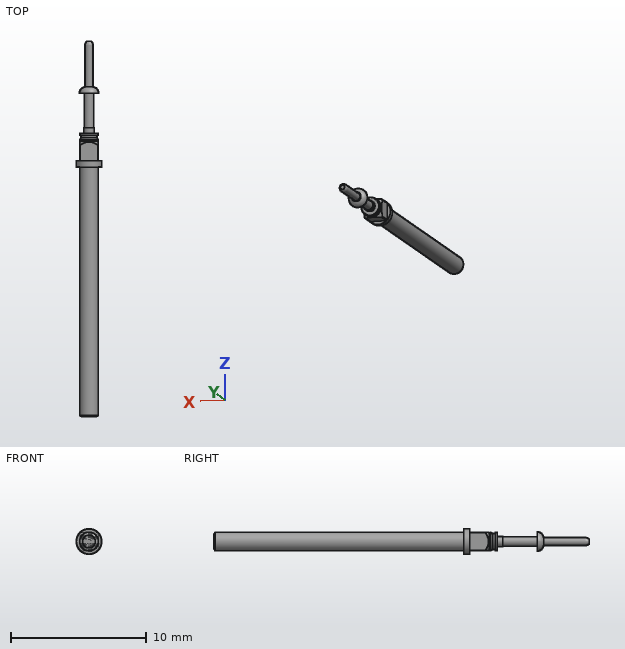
import cadquery as cq
import math

length = 27.8

flange_radius = 0.95
barrel_radius = 0.7
end_face_radius = 0.47
rim_radius = 0.7
notch_radius = 0.6
groove_shoulder_radius = 0.65
groove_radius = 0.58
shaft_radius = 0.35
neck_radius = 0.4
collar_radius = 0.72
pin_radius = 0.3
tip_face_radius = 0.17

end_chamfer_depth = 0.1
flange_start = 18.5
square_start = 18.95
square_end = 20.13
notch = 20.4
ridge = 20.5
groove = 20.65
disc_start = 20.85
disc_end = 21.0
shaft_start = 21.4
collar_start = 23.94
collar_end = 24.4
tip_start = 27.5

square_width = 2 * barrel_radius
cutter_width = 3 * flange_radius


def dome_middle(base_radius, base_y, top_radius, top_y):
    """Point halfway along the arc that leaves the base parallel to Y and ends at the top radius."""
    width = base_radius - top_radius
    height = top_y - base_y
    arc_radius = (width**2 + height**2) / (2 * width)
    half_sweep = math.asin(height / arc_radius) / 2
    center_radius = base_radius - arc_radius
    return (
        center_radius + arc_radius * math.cos(half_sweep),
        base_y + arc_radius * math.sin(half_sweep),
    )


def make_turned_body():
    """Revolve the half outline (radius, Y) about the Y axis."""
    collar_middle = dome_middle(collar_radius, collar_start, shaft_radius, collar_end)
    tip_middle = dome_middle(pin_radius, tip_start, tip_face_radius, length)
    outline = (
        cq.Workplane("XY")
        .lineTo(end_face_radius, 0)
        .lineTo(barrel_radius, end_chamfer_depth)
        .lineTo(barrel_radius, flange_start)
        .lineTo(flange_radius, flange_start)
        .lineTo(flange_radius, square_end)
        .lineTo(notch_radius, notch)
        .lineTo(rim_radius, ridge)
        .lineTo(groove_radius, groove)
        .lineTo(groove_shoulder_radius, disc_start)
        .lineTo(rim_radius, disc_start)
        .lineTo(rim_radius, disc_end)
        .lineTo(neck_radius, disc_end)
        .lineTo(neck_radius, shaft_start)
        .lineTo(shaft_radius, shaft_start)
        .lineTo(shaft_radius, collar_start)
        .lineTo(collar_radius, collar_start)
        .threePointArc(collar_middle, (shaft_radius, collar_end))
        .lineTo(pin_radius, collar_end)
        .lineTo(pin_radius, tip_start)
        .threePointArc(tip_middle, (tip_face_radius, length))
        .lineTo(0, length)
        .close()
    )
    return outline.revolve(360, (0, 0, 0), (0, 1, 0))


def make_square_cutter():
    """Ring with a square opening that leaves four flats ahead of the flange."""
    return (
        cq.Workplane("XZ", origin=(0, square_start, 0))
        .rect(cutter_width, cutter_width)
        .rect(square_width, square_width)
        .extrude(square_start - notch)
    )


result = make_turned_body().cut(make_square_cutter())